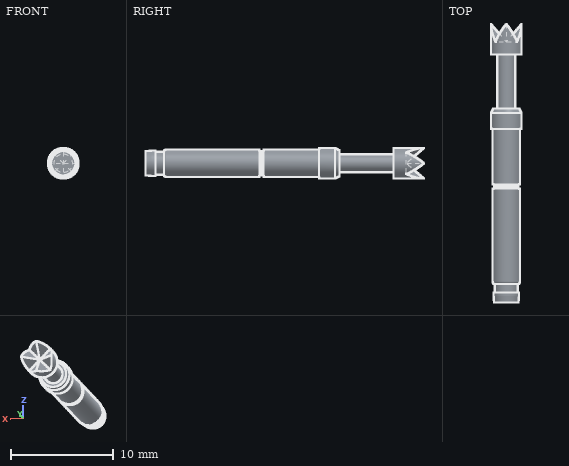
import cadquery as cq
import math

TOTAL_LENGTH = 27.3

HEAD_DIAMETER = 3.0
HEAD_LENGTH = 3.0
TOOTH_DEPTH = 1.75
PLUNGER_DIAMETER = 1.8

COLLAR_DIAMETER = HEAD_DIAMETER
COLLAR_FACE_DIAMETER = 2.55
BARREL_DIAMETER = 2.7
BARREL_END_DIAMETER = 2.4
GROOVE_EDGE_DIAMETER = 2.45
GROOVE_FLOOR_DIAMETER = 2.35
NECK_DIAMETER = 2.27
END_RING_DIAMETER = 2.5
END_FACE_DIAMETER = 2.4

END_RING_LENGTH = 1.0
END_TAPER_LENGTH = 0.6
NECK_LENGTH = 0.8
BARREL_ROUND_LENGTH = 0.25
REAR_BARREL_LENGTH = 9.36
GROOVE_LENGTH = 0.4
FRONT_BARREL_LENGTH = 5.43
COLLAR_LENGTH = 2.02
COLLAR_CHAMFER_LENGTH = 0.45

TIP_Y = TOTAL_LENGTH / 2
END_Y = -TIP_Y
RING_FRONT_Y = END_Y + END_RING_LENGTH
BARREL_REAR_Y = RING_FRONT_Y + NECK_LENGTH
GROOVE_REAR_Y = BARREL_REAR_Y + REAR_BARREL_LENGTH
GROOVE_FRONT_Y = GROOVE_REAR_Y + GROOVE_LENGTH
COLLAR_REAR_Y = GROOVE_FRONT_Y + FRONT_BARREL_LENGTH
COLLAR_FRONT_Y = COLLAR_REAR_Y + COLLAR_LENGTH
HEAD_REAR_Y = TIP_Y - HEAD_LENGTH


def revolved_body():
    """Turned body: half outline in the XY plane, revolved about the Y axis."""
    plunger_radius = PLUNGER_DIAMETER / 2
    head_radius = HEAD_DIAMETER / 2
    collar_radius = COLLAR_DIAMETER / 2
    barrel_radius = BARREL_DIAMETER / 2
    neck_radius = NECK_DIAMETER / 2
    ring_radius = END_RING_DIAMETER / 2
    groove_edge_radius = GROOVE_EDGE_DIAMETER / 2

    drop = (BARREL_DIAMETER - BARREL_END_DIAMETER) / 2
    barrel_rounding = (BARREL_ROUND_LENGTH**2 + drop**2) / (2 * drop)

    outline = (
        cq.Workplane("XY")
        .moveTo(0, END_Y)
        .lineTo(END_FACE_DIAMETER / 2, END_Y)
        .lineTo(ring_radius, END_Y + END_TAPER_LENGTH)
        .lineTo(ring_radius, RING_FRONT_Y)
        .lineTo(neck_radius, RING_FRONT_Y)
        .lineTo(neck_radius, BARREL_REAR_Y)
        .lineTo(BARREL_END_DIAMETER / 2, BARREL_REAR_Y)
        .radiusArc((barrel_radius, BARREL_REAR_Y + BARREL_ROUND_LENGTH), -barrel_rounding)
        .lineTo(barrel_radius, GROOVE_REAR_Y)
        .lineTo(groove_edge_radius, GROOVE_REAR_Y)
        .lineTo(GROOVE_FLOOR_DIAMETER / 2, (GROOVE_REAR_Y + GROOVE_FRONT_Y) / 2)
        .lineTo(groove_edge_radius, GROOVE_FRONT_Y)
        .lineTo(barrel_radius, GROOVE_FRONT_Y)
        .lineTo(barrel_radius, COLLAR_REAR_Y)
        .lineTo(collar_radius, COLLAR_REAR_Y)
        .lineTo(collar_radius, COLLAR_FRONT_Y - COLLAR_CHAMFER_LENGTH)
        .lineTo(COLLAR_FACE_DIAMETER / 2, COLLAR_FRONT_Y)
        .lineTo(plunger_radius, COLLAR_FRONT_Y)
        .lineTo(plunger_radius, HEAD_REAR_Y)
        .lineTo(head_radius, HEAD_REAR_Y)
        .lineTo(head_radius, TIP_Y)
        .lineTo(0, TIP_Y)
        .close()
    )
    return outline.revolve(360, (0, 0, 0), (0, 1, 0))


def tooth_groove(angle):
    """V groove across the head, turned about Y; its flanks pass through the tooth tips."""
    tip_offset = HEAD_DIAMETER / 2 * math.sin(math.radians(45))
    overshoot = 2
    top_y = TIP_Y + (overshoot - 1) * TOOTH_DEPTH
    groove = (
        cq.Workplane("XY")
        .moveTo(0, TIP_Y - TOOTH_DEPTH)
        .lineTo(overshoot * tip_offset, top_y)
        .lineTo(-overshoot * tip_offset, top_y)
        .close()
        .extrude(HEAD_DIAMETER, both=True)
    )
    return groove.rotate((0, 0, 0), (0, 1, 0), angle)


result = revolved_body()
for groove_angle in (45, -45):
    result = result.cut(tooth_groove(groove_angle))